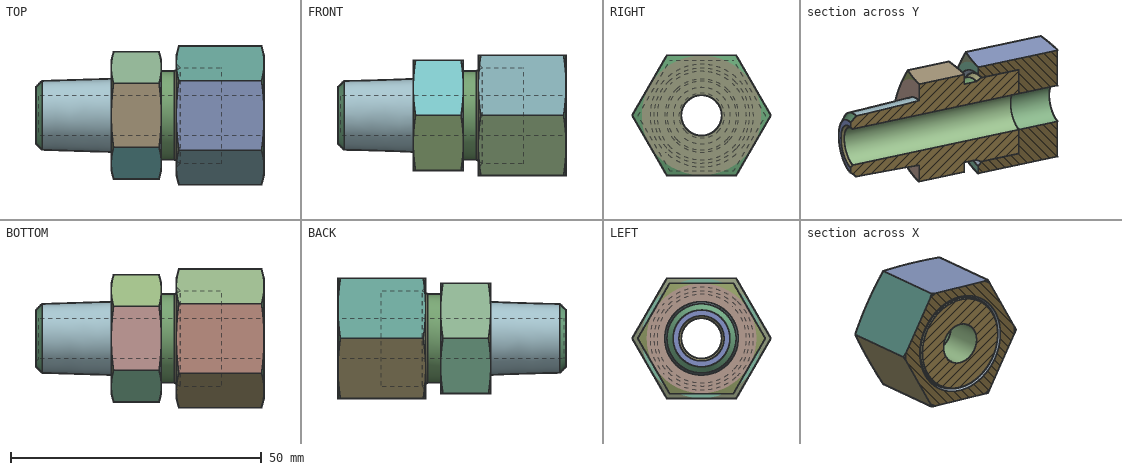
import cadquery as cq
import math

hex_start = 15.0
hex_end = 25.02
neck_end = 27.6
nut_start = 28.0
spigot_end = 37.0
total_length = 45.5

stud_base_radius = 7.33
stud_taper = 1 / 32
stud_chamfer = 1.25
bore_radius = 4.0
bore_chamfer = 0.5

neck_radius = 8.85
neck_cone_angle = 30.0
spigot_radius = 9.5
recess_countersink = 0.77

body_across_flats = 22.0
nut_across_flats = 24.0
corner_chamfer_angle = 15.0
face_circle_inset = 0.07


def revolve_about_x(profile):
    """Revolve a closed (x, radius) profile about the X axis."""
    return cq.Workplane("XY").polyline(profile).close().revolve(360, (0, 0, 0), (1, 0, 0))


def chamfered_hexagon(start, end, across_flats):
    """Hexagon along X with corners on +Y and -Y, its corners turned off at both ends."""
    corner_radius = across_flats / math.sqrt(3)
    face_radius = across_flats / 2 - face_circle_inset
    setback = (corner_radius - face_radius) * math.tan(math.radians(corner_chamfer_angle))
    prism = (
        cq.Workplane("YZ", origin=(start, 0, 0))
        .polygon(6, 2 * corner_radius)
        .extrude(end - start)
    )
    turned_blank = revolve_about_x([
        (start, 0),
        (start, face_radius),
        (start + setback, corner_radius),
        (end - setback, corner_radius),
        (end, face_radius),
        (end, 0),
    ])
    return prism.intersect(turned_blank)


def make_body():
    """Tapered stud, hexagon, neck, cone and spigot with one bore through all of them."""
    stud_shoulder_radius = stud_base_radius - stud_taper * (hex_start - stud_chamfer)
    cone_end = neck_end + (spigot_radius - neck_radius) / math.tan(math.radians(neck_cone_angle))
    turned_shape = revolve_about_x([
        (0, 0),
        (0, stud_shoulder_radius - stud_chamfer),
        (stud_chamfer, stud_shoulder_radius),
        (hex_start, stud_base_radius),
        (hex_start, neck_radius),
        (neck_end, neck_radius),
        (cone_end, spigot_radius),
        (spigot_end, spigot_radius),
        (spigot_end, 0),
    ])
    bore = revolve_about_x([
        (0, 0),
        (0, bore_radius + bore_chamfer),
        (bore_chamfer, bore_radius),
        (spigot_end, bore_radius),
        (spigot_end, 0),
    ])
    hexagon = chamfered_hexagon(hex_start, hex_end, body_across_flats)
    return turned_shape.union(hexagon).cut(bore)


def make_nut():
    """Hexagon nut with a countersunk recess for the spigot, and the bore continued through its back."""
    hexagon = chamfered_hexagon(nut_start, total_length, nut_across_flats)
    spigot_recess = revolve_about_x([
        (nut_start, 0),
        (nut_start, spigot_radius + recess_countersink),
        (nut_start + recess_countersink, spigot_radius),
        (spigot_end, spigot_radius),
        (spigot_end, 0),
    ])
    bore = (
        cq.Workplane("YZ", origin=(spigot_end, 0, 0))
        .circle(bore_radius)
        .extrude(total_length - spigot_end)
    )
    return hexagon.cut(spigot_recess).cut(bore)


body = make_body()
nut = make_nut()

result = cq.Compound.makeCompound([body.val(), nut.val()])